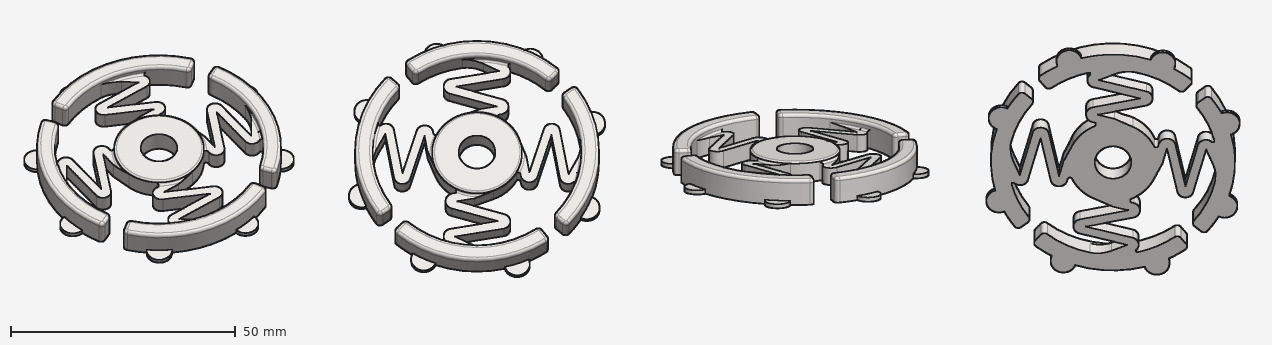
import cadquery as cq
import math

overall_width = 55.9
quarters = 4

hub_radius = 10.0
hub_height = 4.9
hub_edge_fillet = 0.5
bore_diameter = 8.1

arm_outer_radius = 27.15
arm_inner_radius = 23.2
arm_height = 6.0
arm_end_angle = 40.0
arm_corner_fillet = 1.0
arm_top_fillet = 0.8

tab_angle = 22.5
tab_height = 1.0
tab_reach = overall_width / 2
tab_radius = tab_reach - arm_outer_radius * math.cos(math.radians(tab_angle))

spring_height = 3.95
spring_width = 2.05
spring_tilt = math.radians(13.5)
end_tilt = math.radians(24.0)
bend_x = 16.25
bend_y = 5.6
bend_pitch = 4.35
bend_radius = 1.85
hub_bend_radius = 1.9
hub_notch_fillet = 0.5
arm_notch_fillet = 0.35
arm_blend_radius = 7.8
cove_radius = 0.5


def bend_outer_corner(inner, left_tilt, right_tilt, side):
    """Sharp outer corner of a bend; side is +1 for a bend at the top, -1 at the bottom."""
    half_angle = (left_tilt + right_tilt) / 2
    lean = (right_tilt - left_tilt) / 2
    reach = spring_width / math.sin(half_angle)
    return (inner[0] - reach * math.sin(lean), inner[1] + side * reach * math.cos(lean))


def along_leg(start, tilt, y):
    """Point at height y on a straight leg edge through start."""
    return (start[0] + (y - start[1]) * math.tan(tilt), y)


leg_slice = spring_width / math.cos(spring_tilt)
low_bend_y = bend_y - (bend_pitch - leg_slice) / math.tan(spring_tilt)
hub_bend = (bend_x - bend_pitch, low_bend_y)
mid_bend = (bend_x, bend_y)
arm_bend = (bend_x + bend_pitch, low_bend_y)
hub_bend_outer = bend_outer_corner(hub_bend, spring_tilt, spring_tilt, -1)
mid_bend_outer = bend_outer_corner(mid_bend, spring_tilt, spring_tilt, 1)
arm_bend_outer = bend_outer_corner(arm_bend, spring_tilt, end_tilt, -1)


def leg_meets_circle(start, tilt, radius, side):
    """Where the leg edge through start crosses a circle about the centre; side picks which crossing."""
    distance = start[0] * math.cos(tilt) - start[1] * math.sin(tilt)
    along = side * math.sqrt(radius**2 - distance**2)
    return (
        distance * math.cos(tilt) + along * math.sin(tilt),
        along * math.cos(tilt) - distance * math.sin(tilt),
    )


def fillet_upright(body, point, height, radius):
    """Round the upright edge that stands at point."""
    edge = body.edges("|Z").edges(cq.selectors.NearestToPointSelector((*point, height / 2)))
    return edge.fillet(radius)


def make_arm(height):
    """Rim arm centred on +X, with rounded upright corners."""
    band = (
        cq.Workplane("XZ")
        .moveTo(arm_inner_radius, 0)
        .lineTo(arm_outer_radius, 0)
        .lineTo(arm_outer_radius, height)
        .lineTo(arm_inner_radius, height)
        .close()
        .revolve(2 * arm_end_angle, (0, 0), (0, 1))
    )
    centred = band.rotate((0, 0, 0), (0, 0, 1), -arm_end_angle)
    return centred.edges("|Z").fillet(arm_corner_fillet)


def make_spring_bar(height):
    """Zigzag bar with rounded bends, its ends buried in the hub and in the arm."""
    knee = along_leg(hub_bend, -spring_tilt, 0)
    tangent_angle = math.acos(hub_radius / knee[0])
    hub_tangent = (hub_radius * math.cos(tangent_angle), hub_radius * math.sin(tangent_angle))
    hub_root = along_leg(hub_bend_outer, -spring_tilt, 0)
    root_radius = (arm_inner_radius + arm_outer_radius) / 2
    outline = [
        hub_root,
        hub_bend_outer,
        mid_bend,
        arm_bend_outer,
        leg_meets_circle(arm_bend_outer, end_tilt, root_radius, 1),
        leg_meets_circle(arm_bend, end_tilt, root_radius, 1),
        arm_bend,
        mid_bend_outer,
        hub_bend,
        knee,
        hub_tangent,
    ]
    bar = cq.Workplane("XY").polyline(outline).close().extrude(height)
    bar = fillet_upright(bar, hub_bend_outer, height, hub_bend_radius)
    for corner in (mid_bend_outer, arm_bend_outer):
        bar = fillet_upright(bar, corner, height, bend_radius)
    return bar


def make_spring_envelope():
    """Round body whose top is flat at spring height and curves up to the hub and arm walls."""
    top = spring_height + cove_radius
    sag = cove_radius * math.sqrt(0.5)
    hub_cove_x = hub_radius + cove_radius
    arm_cove_x = arm_inner_radius - cove_radius
    return (
        cq.Workplane("XZ")
        .lineTo(arm_outer_radius, 0)
        .lineTo(arm_outer_radius, top)
        .lineTo(arm_inner_radius, top)
        .threePointArc((arm_cove_x + sag, top - sag), (arm_cove_x, spring_height))
        .lineTo(hub_cove_x, spring_height)
        .threePointArc((hub_cove_x - sag, top - sag), (hub_radius, top))
        .lineTo(0, top)
        .close()
        .revolve(360, (0, 0), (0, 1))
    )


def make_spring():
    """Spring joined to the hub and the arm, with fillets where its legs run into them."""
    height = spring_height + cove_radius
    hub_core = cq.Workplane("XY").circle(hub_radius).extrude(height)
    body = make_spring_bar(height).union(hub_core).union(make_arm(height))
    hub_notch = leg_meets_circle(hub_bend_outer, -spring_tilt, hub_radius, -1)
    arm_notch = leg_meets_circle(arm_bend_outer, end_tilt, arm_inner_radius, 1)
    arm_blend = leg_meets_circle(arm_bend, end_tilt, arm_inner_radius, 1)
    body = fillet_upright(body, hub_notch, height, hub_notch_fillet)
    body = fillet_upright(body, arm_notch, height, arm_notch_fillet)
    body = fillet_upright(body, arm_blend, height, arm_blend_radius)
    return body.intersect(make_spring_envelope())


def make_tabs():
    return (
        cq.Workplane("XY")
        .polarArray(arm_outer_radius, -tab_angle, 2 * tab_angle, 2)
        .circle(tab_radius)
        .extrude(tab_height)
    )


def make_quarter():
    arm = make_arm(arm_height).faces(">Z").edges().fillet(arm_top_fillet)
    return make_spring().union(arm).union(make_tabs())


def make_hub():
    disc = cq.Workplane("XY").circle(hub_radius).extrude(hub_height)
    return disc.faces(">Z").edges().fillet(hub_edge_fillet)


quarter = make_quarter()
turn = 360 / quarters
result = make_hub()
for index in range(quarters):
    result = result.union(quarter.rotate((0, 0, 0), (0, 0, 1), (index + 0.5) * turn))
result = result.cut(cq.Workplane("XY").circle(bore_diameter / 2).extrude(hub_height))